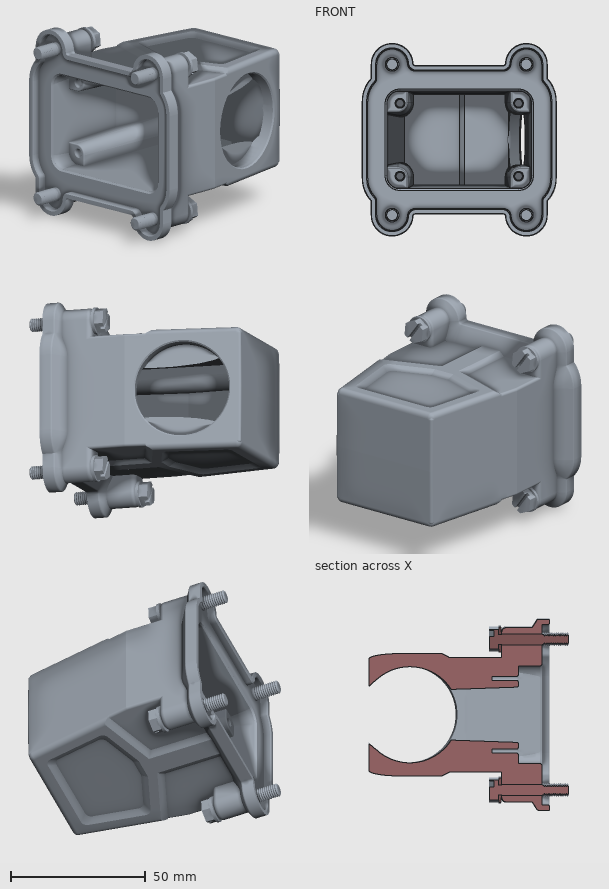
import cadquery as cq
import math

flange_height = 71.4
lobe_radius = 7.7
screw_x = 24.9
screw_z = flange_height / 2 - lobe_radius
screw_dia = 5.05
screw_boss_radius = 4.7
edge_tolerance = 0.2

hood_half_width = screw_x + screw_boss_radius
hood_half_height = 22.8
hood_depth = 74.35
knee_y = 31.2
side_lean = 10.0
back_draft = 0.5
hood_edge_radius = 2.0
lean_slope = math.tan(math.radians(side_lean))

panel_depth = 1.5
panel_slope_run = 2.6
panel_edge_radius = 1.0
rib_half_width = 3.9
shoulder_y = 33.0
shoulder_angle = 20.0
shoulder_slope = math.tan(math.radians(shoulder_angle))
recess_top_y = 68.8
recess_top_half = 17.7
recess_bottom_y = 36.9
recess_bottom_half = 4.3
recess_corner_radius = 2.45

flange_half_width = 36.0
flange_half_height = 27.5
flange_edge_y = 4.65
flange_slope_angle = 57.0
flange_slope_height = 4.5
flange_edge_radius = 0.65
lobe_root_radius = 1.0
side_straight_half = 14.25
side_arc_radius = 12.4
rim_width = 1.6
rim_bevel = 0.4
floor_y = 2.85

screw_boss_top = 18.0
screw_boss_edge_radius = 1.8

mouth_half_width = 26.9
mouth_half_height = 18.2
mouth_corner_radius = 4.9
mouth_bevel = 0.65
bevel_share = 0.99
cavity_back_half_height = 16.8
left_knee_x = 26.5
left_knee_y = 36.65
left_back_y = 71.0
right_knee_x = 25.0
right_back_y = 69.1
back_step_width = 1.95

fixing_x = 22.0
fixing_z = 13.5
fixing_face_y = 11.65
fixing_inner_x = 19.05
fixing_inner_z = 10.2
fixing_corner_radius = 3.7
fixing_edge_radius = 0.5
fixing_draft = 2.0
fixing_hole_dia = 2.9
fixing_hole_depth = 9.8
fixing_hole_bevel = 0.3

entry_dia = 35.5
entry_y = 52.45
entry_bevel = 0.5
entry_overrun = 1.6

washer_radius = 5.0
washer_thickness = 1.05
head_across_corners = 9.3
head_turn = 36.0
head_height = 3.4
slot_width = 1.2
slot_depth = 1.6
screw_tip_y = -7.1
thread_pitch = 0.8
thread_depth = 0.4
tip_bevel = 0.5


def corners(x, z):
    """The four points (+-x, +-z)."""
    return [(sx * x, sz * z) for sx in (-1, 1) for sz in (-1, 1)]


def plane_at(y):
    """Workplane facing +Y at height y, with local x = -X and local y = +Z."""
    return cq.Workplane(cq.Plane(origin=(0, y, 0), xDir=(-1, 0, 0), normal=(0, 1, 0)))


def both_faces(upper):
    """The given shape together with its mirror image below z = 0."""
    return upper.union(upper.mirror("XY"))


def fillet_where(body, radius, test):
    """Round the edges whose centre passes test(|x|, y, |z|)."""
    chosen = []
    for edge in body.edges().vals():
        centre = edge.Center()
        if test(abs(centre.x), centre.y, abs(centre.z)):
            chosen.append(edge)
    return body.newObject(chosen).fillet(radius)


def hood_box(half_height, edge_radius):
    """Upper half of the leaning hood, rounded on every edge away from the flange."""
    back_half = hood_half_width - (hood_depth - knee_y) * lean_slope
    outline = [
        (-hood_half_width, floor_y),
        (hood_half_width, floor_y),
        (hood_half_width, knee_y),
        (back_half, hood_depth),
        (-back_half, hood_depth),
        (-hood_half_width, knee_y),
    ]
    crown = [
        (floor_y, 0),
        (hood_depth, 0),
        (hood_depth - half_height * math.tan(math.radians(back_draft)), half_height),
        (floor_y, half_height),
    ]
    box = cq.Workplane("XY").polyline(outline).close().extrude(half_height)
    box = box.intersect(
        cq.Workplane("YZ").polyline(crown).close().extrude(hood_half_width, both=True)
    )
    top_edges = box.faces(">Z").edges("not <Y")
    back_corners = box.faces(">Y").edges("<X or >X")
    return box.newObject(top_edges.vals() + back_corners.vals()).fillet(edge_radius)


def raised_region():
    """T-shaped zone with sloped flanks: the central rib and everything behind its shoulders."""
    reach = 1.5 * hood_half_width

    def outline(grow):
        rib = rib_half_width + grow
        corner_y = shoulder_y - grow / math.cos(math.radians(shoulder_angle))
        corner_y += grow * shoulder_slope
        edge_y = corner_y + (reach - rib) * shoulder_slope
        right = [(rib, 0), (rib, corner_y), (reach, edge_y), (reach, 2 * hood_depth)]
        return right + [(-x, y) for x, y in reversed(right)]

    floor_z = hood_half_height - panel_depth
    flanks = (
        cq.Workplane("XY").workplane(offset=floor_z).polyline(outline(panel_slope_run)).close()
        .workplane(offset=panel_depth).polyline(outline(0)).close()
        .loft(ruled=True)
    )
    below = cq.Workplane("XY").polyline(outline(panel_slope_run)).close().extrude(floor_z)
    return flanks.union(below)


def recess_sketch(inset):
    """Six-sided recess outline, moved inward by `inset`, with four rounded corners."""
    lean = math.radians(side_lean)
    tilt = math.radians(shoulder_angle)
    top_y = recess_top_y - inset
    bottom_y = recess_bottom_y + inset
    top_half = recess_top_half - inset / math.cos(lean) + inset * lean_slope
    bottom_half = recess_bottom_half - inset * math.tan(tilt / 2)
    span = top_y - bottom_y
    side_half = top_half + lean_slope * (span + shoulder_slope * bottom_half)
    side_half /= 1 + lean_slope * shoulder_slope
    side_y = bottom_y + shoulder_slope * (side_half - bottom_half)
    right = [(bottom_half, bottom_y), (side_half, side_y), (top_half, top_y)]
    outline = right + [(-x, y) for x, y in reversed(right)]
    sketch = cq.Sketch().polygon(outline + outline[:1])
    return sketch.vertices("not <Y").fillet(recess_corner_radius).reset()


def framed_recess():
    """Cutter for the framed recess in the upper broad face."""
    floor_z = hood_half_height - panel_depth
    return (
        cq.Workplane("XY")
        .placeSketch(
            recess_sketch(panel_slope_run).moved(cq.Location(cq.Vector(0, 0, floor_z))),
            recess_sketch(0).moved(cq.Location(cq.Vector(0, 0, hood_half_height))),
        )
        .loft(ruled=True)
    )


def hood():
    """Leaning hood with sunken panels beside the rib and a framed recess on both broad faces."""
    base = hood_box(hood_half_height - panel_depth, panel_edge_radius)
    raised = hood_box(hood_half_height, hood_edge_radius).intersect(raised_region())
    return both_faces(base.union(raised).cut(framed_recess()))


def flange_outline():
    """Closed flange outline in the plane y = 0, with a round lobe around each screw."""
    lobe_outer = screw_x + lobe_radius
    arc_angle = math.acos(1 - (flange_half_width - lobe_outer) / side_arc_radius)

    def side_arc_point(angle):
        return (
            flange_half_width - side_arc_radius * (1 - math.cos(angle)),
            side_straight_half + side_arc_radius * math.sin(angle),
        )

    root_z = flange_half_height + lobe_root_radius
    root_angle = math.asin((root_z - screw_z) / (lobe_radius + lobe_root_radius))
    root_x = screw_x - (lobe_radius + lobe_root_radius) * math.cos(root_angle)
    root_turn = (math.pi / 2 + root_angle) / 2

    def root_point(angle):
        return (root_x + lobe_root_radius * math.sin(angle), root_z - lobe_root_radius * math.cos(angle))

    quarter = (
        plane_at(0)
        .lineTo(flange_half_width, 0)
        .lineTo(flange_half_width, side_straight_half)
        .threePointArc(side_arc_point(arc_angle / 2), side_arc_point(arc_angle))
        .lineTo(lobe_outer, screw_z)
        .threePointArc((screw_x, screw_z + lobe_radius), root_point(math.pi / 2 + root_angle))
        .threePointArc(root_point(root_turn), root_point(0))
        .lineTo(0, flange_half_height)
        .close()
        .extrude(0.8)
    )
    half = quarter.union(quarter.mirror("YZ"))
    whole = half.union(half.mirror("XY")).clean()
    return whole.faces("<Y").wires().val()


def prism(outline, start_y, height, taper=0.0):
    """Extrude an outline that lies in the plane y = 0 toward +Y from start_y."""
    wire = outline.moved(cq.Location(cq.Vector(0, start_y, 0)))
    return plane_at(start_y).add(wire).toPending().extrude(height, taper=taper)


def flange():
    """Flange plate whose top slopes up to the hood and the screw bosses."""
    outline = flange_outline()
    plate = prism(outline, 0, flange_edge_y)
    slope = prism(outline, flange_edge_y, flange_slope_height, flange_slope_angle)
    body = plate.union(slope)
    return fillet_where(body, flange_edge_radius, lambda x, y, z: abs(y - flange_edge_y) < edge_tolerance)


def rim_recess():
    """Cutter for the sealing recess inside the rim, with a bevelled rim edge."""
    outline = flange_outline()
    recess = prism(outline.offset2D(-rim_width - rim_bevel)[0], 0, floor_y)
    bevel = prism(outline.offset2D(-rim_width)[0], 0, rim_bevel, 45)
    return recess.union(bevel)


def screw_bosses():
    """Four bosses on webs that run from the hood out past the screws."""
    length = screw_boss_top - floor_y
    boss = (
        plane_at(floor_y)
        .moveTo(screw_x - screw_boss_radius, 0)
        .lineTo(screw_x - screw_boss_radius, screw_z)
        .threePointArc((screw_x, screw_z + screw_boss_radius), (screw_x + screw_boss_radius, screw_z))
        .lineTo(screw_x + screw_boss_radius, 0)
        .close()
        .extrude(length)
        .faces(">Y").edges("not <Z").fillet(screw_boss_edge_radius)
    )
    pair = boss.union(boss.mirror("YZ"))
    return both_faces(pair)


def fixing_bosses():
    """Four drafted bosses in the cavity corners, each with a rounded inner corner."""
    length = hood_depth - fixing_face_y
    reach_x = mouth_half_width + 2 * fixing_corner_radius
    reach_z = mouth_half_height + 2 * fixing_corner_radius
    bosses = cq.Workplane("XY")
    for x, z in corners((fixing_inner_x + reach_x) / 2, (fixing_inner_z + reach_z) / 2):
        boss = (
            plane_at(fixing_face_y)
            .center(-x, z)
            .sketch()
            .rect(reach_x - fixing_inner_x, reach_z - fixing_inner_z)
            .vertices().fillet(fixing_corner_radius)
            .finalize()
            .extrude(length, taper=-fixing_draft)
            .faces("<Y").edges().fillet(fixing_edge_radius)
        )
        bosses = bosses.union(boss)
    return bosses


def cavity():
    """Inside space: stepped back wall, leaning sides, and the fixing bosses left standing."""
    right_back_x = right_knee_x - (right_back_y - knee_y) * lean_slope
    left_back_x = left_knee_x - (left_back_y - left_knee_y) * lean_slope
    plan = [
        (-mouth_half_width, floor_y),
        (-left_knee_x, left_knee_y),
        (-left_back_x, left_back_y),
        (0, left_back_y),
        (back_step_width, right_back_y),
        (right_back_x, right_back_y),
        (right_knee_x, knee_y),
        (mouth_half_width, floor_y),
    ]
    profile = [
        (floor_y, -mouth_half_height),
        (floor_y, mouth_half_height),
        (left_back_y, cavity_back_half_height),
        (left_back_y, -cavity_back_half_height),
    ]
    space = cq.Workplane("XY").polyline(plan).close().extrude(hood_half_height, both=True)
    space = space.intersect(
        cq.Workplane("YZ").polyline(profile).close().extrude(mouth_half_width, both=True)
    )
    mouth = (
        plane_at(floor_y)
        .rect(2 * mouth_half_width, 2 * mouth_half_height)
        .extrude(hood_depth)
        .edges("|Y").fillet(mouth_corner_radius)
    )
    bevel = (
        plane_at(floor_y)
        .rect(2 * (mouth_half_width + mouth_bevel), 2 * (mouth_half_height + mouth_bevel))
        .extrude(mouth_bevel)
        .edges("|Y").fillet(mouth_corner_radius + mouth_bevel)
        .faces(">Y").edges().chamfer(bevel_share * mouth_bevel)
    )
    return space.intersect(mouth).cut(fixing_bosses()).union(bevel)


def fixing_holes():
    """Blind holes in the fixing bosses, bevelled at the mouth."""
    holes = (
        plane_at(fixing_face_y)
        .pushPoints(corners(fixing_x, fixing_z))
        .circle(fixing_hole_dia / 2)
        .extrude(fixing_hole_depth)
    )
    bevels = (
        plane_at(fixing_face_y)
        .pushPoints(corners(fixing_x, fixing_z))
        .circle(fixing_hole_dia / 2 + fixing_hole_bevel)
        .extrude(fixing_hole_bevel, taper=45)
    )
    return holes.union(bevels)


def cable_entry():
    """Cutter for the round cable entry, square to the leaning +X side, with a bevelled outer edge."""
    lean = math.radians(side_lean)
    outward = cq.Vector(math.cos(lean), math.sin(lean), 0)
    centre = cq.Vector(hood_half_width - (entry_y - knee_y) * lean_slope, entry_y, 0)
    wall = hood_half_width - right_knee_x
    inside = cq.Plane(origin=centre - outward * (wall + entry_overrun), xDir=(0, 0, 1), normal=outward)
    outside = cq.Plane(origin=centre, xDir=(0, 0, 1), normal=-outward)
    bore = cq.Workplane(inside).circle(entry_dia / 2).extrude(2 * wall)
    bevel = cq.Workplane(outside).circle(entry_dia / 2 + entry_bevel).extrude(entry_bevel, taper=45)
    return bore.union(bevel)


def screw_holes():
    """Through holes for the four screws."""
    return plane_at(0).pushPoints(corners(screw_x, screw_z)).circle(screw_dia / 2).extrude(screw_boss_top)


def build_housing():
    """One casting: hood, flange and bosses, less the cavity, the sealing recess and all holes."""
    body = hood().union(screw_bosses()).union(flange())
    body = body.cut(rim_recess()).cut(cavity())
    return body.cut(fixing_holes()).cut(cable_entry()).cut(screw_holes())


def build_screw(x, z):
    """Slotted hexagon screw with a ringed thread below the flange floor."""
    radius = screw_dia / 2
    root = radius - thread_depth
    head_y = screw_boss_top + washer_thickness
    turns = int((floor_y - screw_tip_y - tip_bevel) / thread_pitch)
    thread_end = screw_tip_y + tip_bevel + turns * thread_pitch
    shank = cq.Workplane("XY").moveTo(0, head_y).lineTo(radius, head_y).lineTo(radius, thread_end)
    for turn in range(turns):
        crest_y = thread_end - turn * thread_pitch
        shank = shank.lineTo(root, crest_y - thread_pitch / 2).lineTo(radius, crest_y - thread_pitch)
    shank = shank.lineTo(radius - tip_bevel, screw_tip_y).lineTo(0, screw_tip_y).close()
    shank = shank.revolve(360, (0, 0, 0), (0, 1, 0))
    head = cq.Workplane("XZ").polygon(6, head_across_corners).extrude(-head_height)
    slot = (
        cq.Workplane("XZ").workplane(offset=-head_height)
        .transformed(rotate=(0, 0, 90))
        .rect(2 * head_across_corners, slot_width)
        .extrude(slot_depth)
    )
    head = head.cut(slot).rotate((0, 0, 0), (0, 1, 0), -head_turn).translate((0, head_y, 0))
    return shank.union(head).translate((x, 0, z))


def build_washer(x, z):
    """Flat washer between a screw head and its boss."""
    ring = plane_at(screw_boss_top).circle(washer_radius).circle(screw_dia / 2).extrude(washer_thickness)
    return ring.translate((x, 0, z))


housing = build_housing()
screws = [build_screw(x, z) for x, z in corners(screw_x, screw_z)]
washers = [build_washer(x, z) for x, z in corners(screw_x, screw_z)]

result = cq.Compound.makeCompound(
    [housing.val()] + [screw.val() for screw in screws] + [washer.val() for washer in washers]
)